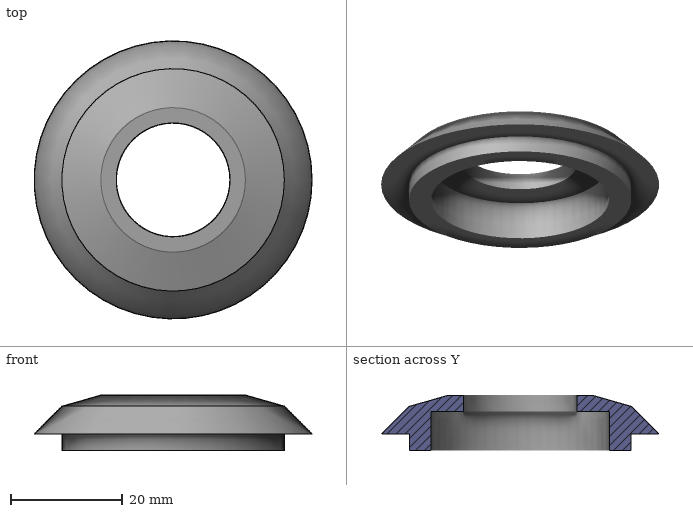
import cadquery as cq

rim_diameter = 50.0
shoulder_diameter = 40.0
top_face_diameter = 26.0
spigot_diameter = 40.0
bore_diameter = 20.4
recess_diameter = 32.0

spigot_height = 3.0
steep_cone_height = 5.0
shallow_cone_height = 2.0
bore_depth = 3.0

spigot_bottom_z = -spigot_height
shoulder_z = steep_cone_height
top_z = shoulder_z + shallow_cone_height
recess_ceiling_z = top_z - bore_depth


def make_ring():
    """Revolve the half section (radius, height) about the Z axis."""
    half_section = (
        cq.Workplane("XZ")
        .moveTo(recess_diameter / 2, spigot_bottom_z)
        .lineTo(spigot_diameter / 2, spigot_bottom_z)
        .lineTo(spigot_diameter / 2, 0)
        .lineTo(rim_diameter / 2, 0)
        .lineTo(shoulder_diameter / 2, shoulder_z)
        .lineTo(top_face_diameter / 2, top_z)
        .lineTo(bore_diameter / 2, top_z)
        .lineTo(bore_diameter / 2, recess_ceiling_z)
        .lineTo(recess_diameter / 2, recess_ceiling_z)
        .close()
    )
    return half_section.revolve(360, (0, 0, 0), (0, 1, 0))


result = make_ring()